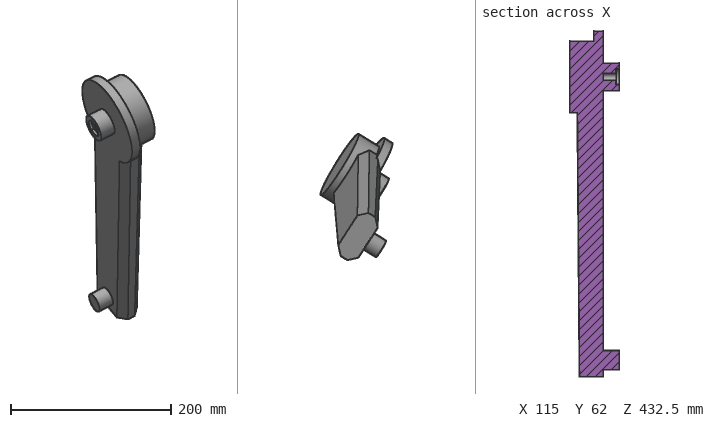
import cadquery as cq

flange_diameter = 115.0
flange_thickness = 12.0
drum_diameter = 90.0
drum_length = 30.0

hub_diameter = 35.0
hub_length = 20.0
socket_diameter = 22.0
socket_across_flats = 19.0
socket_depth = 4.0
pilot_diameter = 8.0
pilot_depth = hub_length - socket_depth

arm_length = 375.0
arm_top_width = 79.0
arm_top_depth = 33.0
arm_bottom_width = 65.0
arm_bottom_depth = 30.0
arm_bevel = 10.0

peg_diameter = 24.5
peg_length = 20.0
peg_offset_x = 1.5
peg_drop = 354.0


def cylinder_along_y(diameter, start_y, length, x=0.0, z=0.0):
    """Cylinder running from start_y toward +Y for the given length."""
    return (
        cq.Workplane("XZ", origin=(x, start_y, z))
        .circle(diameter / 2)
        .extrude(-length)
    )


def bevelled_section(width, depth):
    """Corner points of a rectangle with cut corners, its front edge on y = 0."""
    half = width / 2
    return [
        (-half + arm_bevel, 0),
        (half - arm_bevel, 0),
        (half, arm_bevel),
        (half, depth - arm_bevel),
        (half - arm_bevel, depth),
        (-half + arm_bevel, depth),
        (-half, depth - arm_bevel),
        (-half, arm_bevel),
    ]


def make_arm():
    """Tapered bar from the head axis down to the free end."""
    return (
        cq.Workplane("XY", origin=(0, 0, -arm_length))
        .polyline(bevelled_section(arm_bottom_width, arm_bottom_depth))
        .close()
        .workplane(offset=arm_length)
        .polyline(bevelled_section(arm_top_width, arm_top_depth))
        .close()
        .loft(ruled=True, combine=True)
    )


def make_head():
    """Flange with the drum behind it and the hub in front."""
    flange = cylinder_along_y(flange_diameter, 0, flange_thickness)
    drum = cylinder_along_y(drum_diameter, flange_thickness, drum_length)
    hub = cylinder_along_y(hub_diameter, -hub_length, hub_length)
    return flange.union(drum).union(hub)


def make_socket():
    """Round recess with two flats in the hub end, and the pilot hole in its floor."""
    round_recess = cylinder_along_y(socket_diameter, -hub_length, socket_depth)
    flats = (
        cq.Workplane("XZ", origin=(0, -hub_length, 0))
        .rect(socket_diameter, socket_across_flats)
        .extrude(-socket_depth)
    )
    pilot = cylinder_along_y(pilot_diameter, socket_depth - hub_length, pilot_depth)
    return round_recess.intersect(flats).union(pilot)


def make_peg():
    """Round handle peg on the front of the arm."""
    return cylinder_along_y(peg_diameter, -peg_length, peg_length, peg_offset_x, -peg_drop)


result = make_head().union(make_arm()).union(make_peg()).cut(make_socket())